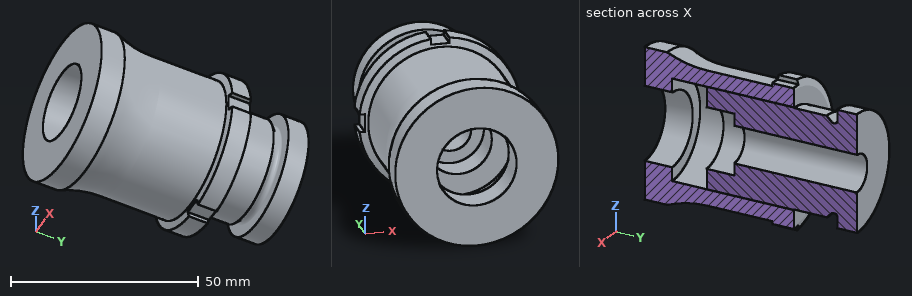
import cadquery as cq
import math

base_radius = 22.5
base_length = 7.0
flare_end = 19.05
barrel_radius = 20.0

collar_radius = 22.3
collar_start = 39.0
collar_length = 7.0
collar_end = collar_start + collar_length
collar_bevel_length = 0.65
slot_count = 4
slot_width = 5.1
slot_floor_radius = 20.75

mouth_radius = 10.95
mouth_depth = 8.5

plunger_radius = 15.0
plunger_start = flare_end
plunger_counterbore_radius = 9.0
plunger_counterbore_depth = 8.5
through_hole_radius = 5.5
flange_radius = 17.5
flange_thickness = 6.15
overall_length = 65.25
flange_start = overall_length - flange_thickness

neck_radius = 13.3
neck_length = 0.25
flange_fillet = 0.8
shoulder_fillet = 1.0
shoulder_angle = math.radians(45)


def revolve_about_y(profile):
    return profile.close().revolve(360, (0, 0, 0), (0, 1, 0))


def cylinder_along_y(radius, start, end):
    return cq.Workplane("XZ", origin=(0, start, 0)).circle(radius).extrude(start - end)


def flare_midpoint():
    """Middle of the flare arc, which is tangent to the barrel."""
    rise = base_radius - barrel_radius
    run = flare_end - base_length
    flare_radius = (rise**2 + run**2) / (2 * rise)
    half_angle = math.asin(run / flare_radius) / 2
    radius = barrel_radius + flare_radius * (1 - math.cos(half_angle))
    return radius, flare_end - flare_radius * math.sin(half_angle)


def make_sleeve():
    profile = (
        cq.Workplane("XY")
        .moveTo(mouth_radius, 0)
        .lineTo(base_radius, 0)
        .lineTo(base_radius, base_length)
        .threePointArc(flare_midpoint(), (barrel_radius, flare_end))
        .lineTo(barrel_radius, collar_start)
        .lineTo(collar_radius, collar_start + collar_bevel_length)
        .lineTo(collar_radius, collar_end - collar_bevel_length)
        .lineTo(barrel_radius, collar_end)
        .lineTo(plunger_radius, collar_end)
        .lineTo(plunger_radius, mouth_depth)
        .lineTo(mouth_radius, mouth_depth)
    )
    sleeve = revolve_about_y(profile)

    slot_height = base_radius - slot_floor_radius
    slot = cq.Workplane("XY").box(slot_width, collar_length, slot_height, centered=(True, False, False))
    slot = slot.translate((0, collar_start, slot_floor_radius))
    for index in range(slot_count):
        sleeve = sleeve.cut(slot.rotate((0, 0, 0), (0, 1, 0), index * 360 / slot_count))
    return sleeve


def make_plunger():
    neck_end = flange_start - flange_fillet
    flange_fillet_middle = (
        neck_radius + flange_fillet * (1 - math.cos(math.pi / 4)),
        neck_end + flange_fillet * math.sin(math.pi / 4),
    )

    neck_start = neck_end - neck_length

    def shoulder_fillet_point(angle):
        radius = neck_radius + shoulder_fillet * (1 - math.cos(angle))
        return radius, neck_start - shoulder_fillet * math.sin(angle)

    slope_radius, slope_end = shoulder_fillet_point(shoulder_angle)
    slope_start = slope_end - (plunger_radius - slope_radius) / math.tan(shoulder_angle)

    profile = (
        cq.Workplane("XY")
        .moveTo(through_hole_radius, plunger_start)
        .lineTo(plunger_radius, plunger_start)
        .lineTo(plunger_radius, slope_start)
        .lineTo(slope_radius, slope_end)
        .threePointArc(shoulder_fillet_point(shoulder_angle / 2), (neck_radius, neck_start))
        .lineTo(neck_radius, neck_end)
        .threePointArc(flange_fillet_middle, (neck_radius + flange_fillet, flange_start))
        .lineTo(flange_radius, flange_start)
        .lineTo(flange_radius, overall_length)
        .lineTo(through_hole_radius, overall_length)
    )
    plunger = revolve_about_y(profile)
    counterbore_end = plunger_start + plunger_counterbore_depth
    return plunger.cut(cylinder_along_y(plunger_counterbore_radius, plunger_start, counterbore_end))


sleeve = make_sleeve()
plunger = make_plunger()
result = cq.Compound.makeCompound([sleeve.val(), plunger.val()])